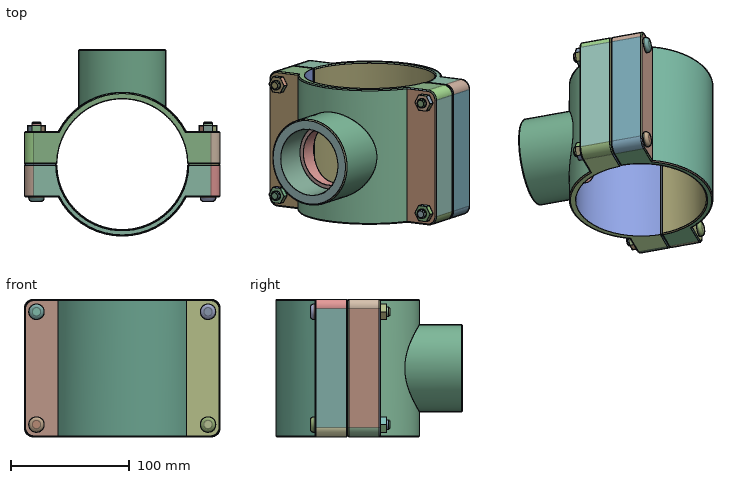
import cadquery as cq

overall_width = 165
height = 116.0
bore_radius = 55.1
ring_radius = 60.5
flange_depth = 27.5
corner_radius = 8.0
edge_chamfer = 1.0

branch_end = 96.9
branch_diameter = 73.6
socket_diameter = 56.6
passage_diameter = 50.0
socket_floor = 66

bolt_x = 72.3
bolt_z = 47.5
shank_diameter = 8.0
head_diameter = 13.0
head_height = 4.0
head_rounding = 3.0
nut_across_corners = 15.0
nut_height = 5
tip_length = 3.0
tip_chamfer = 1.0

tolerance = 0.02


def y_cylinder(diameter, y_start, y_end):
    """Cylinder along Y, centred on X = Z = 0."""
    plane = cq.Workplane("XZ", origin=(0, y_start, 0))
    return plane.circle(diameter / 2).extrude(y_start - y_end)


def z_cylinder(radius):
    """Cylinder along Z over the full clamp height."""
    return cq.Workplane("XY").circle(radius).extrude(height / 2, both=True)


def clamp_half(side):
    """Sharp-edged half of the clamp body; side is +1 for the +Y half and -1 for the -Y half."""
    flanges = cq.Workplane("XY").box(overall_width, 2 * flange_depth, height)
    flanges = flanges.edges("|Y").fillet(corner_radius)
    half_space = cq.Workplane("XY").box(overall_width, overall_width, height)
    half_space = half_space.translate((0, side * overall_width / 2, 0))
    body = z_cylinder(ring_radius).union(flanges)
    return body.intersect(half_space).cut(z_cylinder(bore_radius))


def is_chamfered(edge, side):
    """True for the split-face, flange and outer ring edges and, on the -Y half, the bore rims."""
    bounds = edge.BoundingBox()
    is_rim = edge.geomType() == "CIRCLE" and bounds.zlen < tolerance
    if is_rim:
        is_bore_rim = abs(edge.radius() - bore_radius) < tolerance
        return side < 0 or not is_bore_rim

    distance = abs(edge.Center().y)
    in_y_plane = bounds.ylen < tolerance
    on_split_face = in_y_plane and distance < tolerance
    on_flange_face = in_y_plane and abs(distance - flange_depth) < tolerance
    is_inner_corner = abs(bounds.zlen - height) < tolerance
    return on_split_face or (on_flange_face and not is_inner_corner)


def chamfered_half(side):
    """Clamp half with its rims chamfered; the two halves meet in a V groove."""
    half = clamp_half(side)
    rims = [edge for edge in half.edges().vals() if is_chamfered(edge, side)]
    return half.newObject(rims).chamfer(edge_chamfer)


def branch_pipe():
    """Outer body of the branch, trimmed to the outside of the clamp bore."""
    pipe = y_cylinder(branch_diameter, 0, branch_end)
    pipe = pipe.faces(">Y").edges().chamfer(edge_chamfer)
    return pipe.cut(z_cylinder(bore_radius))


def bolt_with_nut():
    """Bolt along Y at X = Z = 0, with its head on the -Y flange and its nut on the +Y flange."""
    head = y_cylinder(head_diameter, -flange_depth - head_height, -flange_depth)
    head = head.faces("<Y").edges().fillet(head_rounding)
    tip_end = flange_depth + nut_height + tip_length
    shank = y_cylinder(shank_diameter, -flange_depth, tip_end)
    shank = shank.faces(">Y").edges().chamfer(tip_chamfer)
    nut_plane = cq.Workplane("XZ", origin=(0, flange_depth, 0))
    nut = nut_plane.polygon(6, nut_across_corners).extrude(-nut_height)
    return shank.union(head).union(nut)


result = chamfered_half(1).union(branch_pipe()).union(chamfered_half(-1))
result = result.cut(y_cylinder(passage_diameter, 0, branch_end))
result = result.cut(y_cylinder(socket_diameter, socket_floor, branch_end))

bolt = bolt_with_nut()
for x in (-bolt_x, bolt_x):
    for z in (-bolt_z, bolt_z):
        result = result.union(bolt.translate((x, 0, z)))